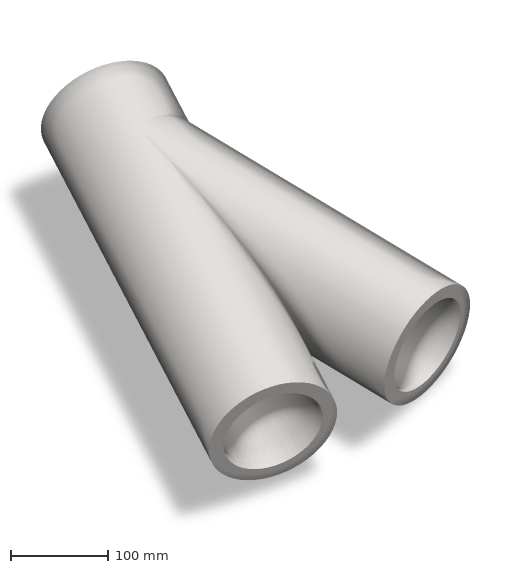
import cadquery as cq

run_length = 470.0
outer_diameter = 141.5
bore_diameter = 109.5

branch_angle = 30.0
branch_length = 380.5
junction_x = 89.5


def run_cylinder(diameter):
    """Cylinder along the whole main pipe."""
    return cq.Workplane("YZ").circle(diameter / 2).extrude(run_length)


def branch_cylinder(diameter):
    """Cylinder along the branch, starting where the two axes cross."""
    return (
        cq.Workplane("YZ")
        .circle(diameter / 2)
        .extrude(branch_length)
        .rotate((0, 0, 0), (0, 0, 1), branch_angle)
        .translate((junction_x, 0, 0))
    )


outer_body = run_cylinder(outer_diameter).union(branch_cylinder(outer_diameter))
result = outer_body.cut(run_cylinder(bore_diameter)).cut(branch_cylinder(bore_diameter))